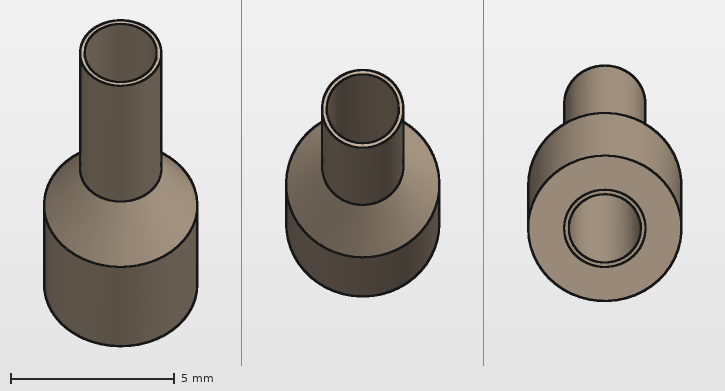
import cadquery as cq

total_length = 12.0
tube_outer_diameter = 2.5
tube_inner_diameter = 2.21
collar_diameter = 4.7
collar_height = total_length / 2
collar_straight_height = 4.12

tube_radius = tube_outer_diameter / 2
collar_radius = collar_diameter / 2


def make_tube():
    """Straight open tube running the full length of the ferrule."""
    return (
        cq.Workplane("XY")
        .circle(tube_radius)
        .circle(tube_inner_diameter / 2)
        .extrude(total_length)
    )


def make_collar():
    """Cylindrical collar that tapers to the tube surface, with a bore that fits the tube."""
    half_profile = (
        cq.Workplane("XZ")
        .moveTo(tube_radius, 0)
        .lineTo(collar_radius, 0)
        .lineTo(collar_radius, collar_straight_height)
        .lineTo(tube_radius, collar_height)
        .close()
    )
    return half_profile.revolve(360, (0, 0, 0), (0, 1, 0))


tube = make_tube()
collar = make_collar()

result = cq.Compound.makeCompound([tube.val(), collar.val()])